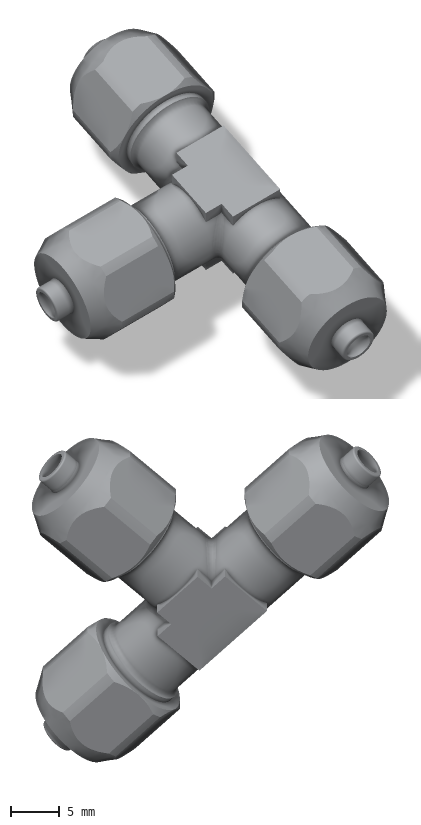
import cadquery as cq
import math

arm_reach = 23.0

block_length = 10.0
block_height = 10.0
block_width = 6.0

body_radius = 9.0 / 2
inner_corner_fillet = 0.75
collar_radius = 10.0 / 2
collar_start = 10.35
collar_fillet = 0.6
collar_flare_length = math.sqrt(collar_fillet**2 - (body_radius + collar_fillet - collar_radius) ** 2)

nut_start = 11.0
nut_end = 21.0
nut_sides = 6
nut_across_flats = 12.0
nut_corner_radius = 6.62
nut_end_radius = 10.0 / 2
nut_cone_angle = 30.0
nut_back_radius = nut_across_flats / 2
nut_back_chamfer = nut_corner_radius - nut_back_radius
nut_cone_length = (nut_corner_radius - nut_end_radius) / math.tan(math.radians(nut_cone_angle))

hose_radius = 4.0 / 2
bore_radius = 3.0 / 2
hose_round = 0.2
hose_root_radius = 4.15 / 2
hose_root_length = 0.28


def make_body_tube():
    """Body tube along +X that flares through a concave fillet into the collar."""
    return (
        cq.Workplane("XY")
        .lineTo(0, body_radius)
        .lineTo(collar_start - collar_flare_length, body_radius)
        .radiusArc((collar_start, collar_radius), -collar_fillet)
        .lineTo(nut_start, collar_radius)
        .lineTo(nut_start, 0)
        .close()
        .revolve(360, (0, 0, 0), (1, 0, 0))
    )


def make_nut():
    """Hexagonal nut along +X, its corners trimmed by a turned envelope."""
    corner_diameter = nut_across_flats / math.cos(math.pi / nut_sides)
    hexagon = (
        cq.Workplane("YZ", origin=(nut_start, 0, 0))
        .polygon(nut_sides, corner_diameter)
        .extrude(nut_end - nut_start)
    )
    envelope = (
        cq.Workplane("XY")
        .moveTo(nut_start, 0)
        .lineTo(nut_start, nut_back_radius)
        .lineTo(nut_start + nut_back_chamfer, nut_corner_radius)
        .lineTo(nut_end - nut_cone_length, nut_corner_radius)
        .lineTo(nut_end, nut_end_radius)
        .lineTo(nut_end, 0)
        .close()
        .revolve(360, (0, 0, 0), (1, 0, 0))
    )
    return hexagon.intersect(envelope)


def make_hose_end():
    """Hose end along +X with a slightly tapered root and a rounded tip."""
    return (
        cq.Workplane("XY")
        .moveTo(nut_start, 0)
        .lineTo(nut_start, hose_root_radius)
        .lineTo(nut_end, hose_root_radius)
        .lineTo(nut_end + hose_root_length, hose_radius)
        .lineTo(arm_reach - hose_round, hose_radius)
        .radiusArc((arm_reach, hose_radius - hose_round), hose_round)
        .lineTo(arm_reach, 0)
        .close()
        .revolve(360, (0, 0, 0), (1, 0, 0))
    )


def make_block():
    """T-shaped block: a bar along X with a stub toward -Y."""
    bar = cq.Workplane("XY").box(block_length, block_width, block_height)
    stub = (
        cq.Workplane("XY")
        .center(0, -block_length / 4)
        .box(block_width, block_length / 2, block_height)
    )
    return bar.union(stub)


def on_each_arm(shape):
    """Union of copies of a +X shape on the +X, -X and -Y arms."""
    combined = shape
    for angle in (180, -90):
        combined = combined.union(shape.rotate((0, 0, 0), (0, 0, 1), angle))
    return combined


def make_body():
    """Tubes and block, with the two inner corners between the tubes filleted."""
    body = on_each_arm(make_body_tube()).union(make_block())
    corner_edges = cq.selectors.BoxSelector(
        (-body_radius, -body_radius, -block_height / 2),
        (body_radius, -block_width / 2, block_height / 2),
    )
    return body.edges("%ELLIPSE").edges(corner_edges).fillet(inner_corner_fillet)


bore = cq.Workplane("YZ").circle(bore_radius).extrude(arm_reach)

result = (
    make_body()
    .union(on_each_arm(make_nut()))
    .union(on_each_arm(make_hose_end()))
    .cut(on_each_arm(bore))
)